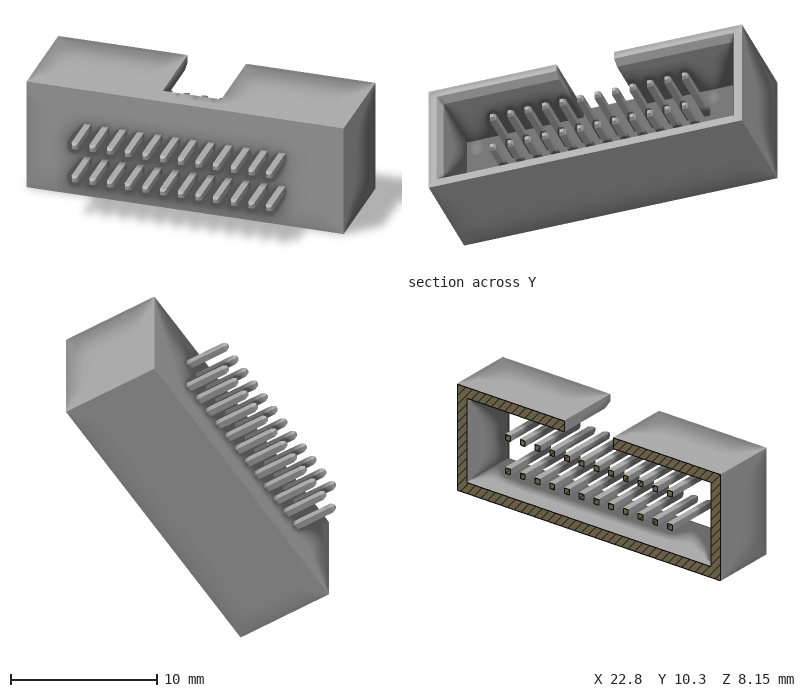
import cadquery as cq

body_length = 22.79
body_depth = 7.1
body_height = 8.15

wall_thickness = 0.87
cavity_depth = 5.27
mouth_flare_depth = 0.58
mouth_flare_width = 0.3

notch_width = 4.2
notch_depth = 5.56

pins_per_row = 12
pin_pitch = 1.27
row_count = 2
row_pitch = 2.54
pin_width = 0.46
pin_tail = 3.2
pin_mouth_clearance = 0.46
tip_length = 0.28
tip_inset = 0.1

cavity_length = body_length - 2 * wall_thickness
cavity_height = body_height - 2 * wall_thickness
cavity_floor_y = body_depth - cavity_depth


def box_along_y(length_x, start_y, length_y, height_z):
    """Box centred on X and Z that runs towards +Y from start_y."""
    box = cq.Workplane("XY").box(length_x, length_y, height_z, centered=(True, False, True))
    return box.translate((0, start_y, 0))


def taper_along_y(base_size, end_size, base_y, end_y):
    """Rectangular frustum centred on the Y axis; each size is (X, Z)."""
    return (
        cq.Workplane("XZ", origin=(0, base_y, 0))
        .rect(*base_size)
        .workplane(offset=base_y - end_y)
        .rect(*end_size)
        .loft(ruled=True)
    )


def make_housing():
    body = box_along_y(body_length, 0, body_depth, body_height)
    cavity = box_along_y(cavity_length, cavity_floor_y, cavity_depth, cavity_height)
    mouth_size = (cavity_length + 2 * mouth_flare_width, cavity_height + 2 * mouth_flare_width)
    cavity_size = (cavity_length, cavity_height)
    flare = taper_along_y(mouth_size, cavity_size, body_depth, body_depth - mouth_flare_depth)
    notch_center_z = (body_height - wall_thickness) / 2
    notch = box_along_y(notch_width, body_depth - notch_depth, notch_depth, wall_thickness)
    notch = notch.translate((0, 0, notch_center_z))
    return body.cut(cavity).cut(flare).cut(notch)


def make_pin():
    """One post along Y with a tapered tip at each end."""
    tail_y = -pin_tail
    head_y = body_depth - pin_mouth_clearance
    tail_shoulder_y = tail_y + tip_length
    head_shoulder_y = head_y - tip_length
    shank_size = (pin_width, pin_width)
    tip_size = (pin_width - 2 * tip_inset, pin_width - 2 * tip_inset)
    shank = box_along_y(pin_width, tail_shoulder_y, head_shoulder_y - tail_shoulder_y, pin_width)
    tail_tip = taper_along_y(shank_size, tip_size, tail_shoulder_y, tail_y)
    head_tip = taper_along_y(shank_size, tip_size, head_shoulder_y, head_y)
    return shank.union(tail_tip).union(head_tip)


def make_connector():
    connector = make_housing()
    pin = make_pin()
    first_x = -pin_pitch * (pins_per_row - 1) / 2
    first_z = -row_pitch * (row_count - 1) / 2
    for row in range(row_count):
        for column in range(pins_per_row):
            connector = connector.union(
                pin.translate((first_x + column * pin_pitch, 0, first_z + row * row_pitch))
            )
    return connector


result = make_connector()